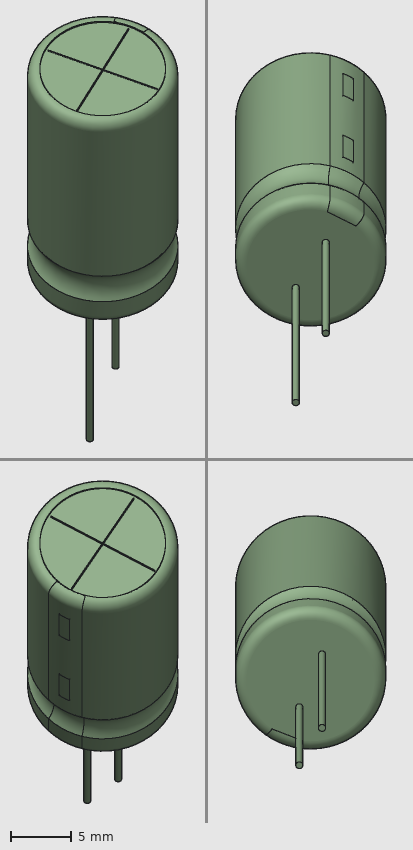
import cadquery as cq
import math


body_diameter = 12.5
body_height = 25.0
body_radius = body_diameter / 2
edge_radius = 0.93
sleeve_thickness = 0.15
lip_width = 0.1
opening_radius = body_radius - edge_radius - lip_width

belt_bottom = 2.8
belt_height = 3.2
belt_depth = 0.6
belt_middle = belt_bottom + belt_height / 2
belt_top = belt_bottom + belt_height

score_width = 0.08
score_depth = 0.1
score_end_gap = 0.2
score_length = 2 * (opening_radius - score_end_gap)

stripe_angle = 30.0
mark_count = 2
mark_length = 3.6
mark_width = 1.0
mark_pitch = 10.2
mark_center = (belt_top + body_height - edge_radius) / 2

lead_diameter = 0.6
lead_pitch = 5.0
cathode_length = 15.0
anode_length = 18.99


def turned_body(inset):
    """Solid of revolution whose surface lies `inset` inside the outer surface of the sleeve."""
    radius = body_radius - inset
    bottom = inset
    top = body_height - inset
    corner = edge_radius - inset
    arc_drop = corner * (1 - math.sqrt(0.5))
    return (
        cq.Workplane("XZ")
        .moveTo(0, bottom)
        .lineTo(radius - corner, bottom)
        .threePointArc((radius - arc_drop, bottom + arc_drop), (radius, bottom + corner))
        .lineTo(radius, belt_bottom)
        .threePointArc((radius - belt_depth, belt_middle), (radius, belt_top))
        .lineTo(radius, top - corner)
        .threePointArc((radius - arc_drop, top - arc_drop), (radius - corner, top))
        .lineTo(0, top)
        .close()
        .revolve(360, (0, 0, 0), (0, 1, 0))
    )


def make_can():
    """Inner can with a cross scored into its top."""
    can = turned_body(sleeve_thickness)
    can_top = body_height - sleeve_thickness
    for length_x, length_y in ((score_length, score_width), (score_width, score_length)):
        score = cq.Workplane("XY", origin=(0, 0, can_top)).rect(length_x, length_y).extrude(-score_depth)
        can = can.cut(score)
    return can


def make_shell():
    """Thin wrap around the can, open at the top and pierced by the leads at the bottom."""
    opening = (
        cq.Workplane("XY", origin=(0, 0, body_height)).circle(opening_radius).extrude(-sleeve_thickness)
    )
    lead_holes = (
        cq.Workplane("XY")
        .pushPoints([(0, lead_pitch / 2), (0, -lead_pitch / 2)])
        .circle(lead_diameter / 2)
        .extrude(sleeve_thickness)
    )
    return turned_body(0).cut(turned_body(sleeve_thickness)).cut(opening).cut(lead_holes)


def make_stripe_sector():
    """Wedge on the +Y side, tall and deep enough to take in the whole stripe outside the leads."""
    far_y = 2 * body_radius
    half_width = far_y * math.tan(math.radians(stripe_angle / 2))
    near_y = opening_radius - lip_width
    near_half_width = half_width * near_y / far_y
    return (
        cq.Workplane("XY")
        .polyline(
            [
                (-near_half_width, near_y),
                (near_half_width, near_y),
                (half_width, far_y),
                (-half_width, far_y),
            ]
        )
        .close()
        .extrude(body_height)
    )


def make_mark_block(center_z):
    """Block that cuts one minus mark out of the stripe."""
    return cq.Workplane("XY", origin=(0, body_radius, center_z)).box(mark_width, body_radius, mark_length)


def make_lead(y, length):
    """Wire that starts on the underside of the can and hangs `length` below the sleeve."""
    return (
        cq.Workplane("XY", origin=(0, y, -length))
        .circle(lead_diameter / 2)
        .extrude(length + sleeve_thickness)
    )


can = make_can()
shell = make_shell()
stripe_sector = make_stripe_sector()
sleeve = shell.cut(stripe_sector)
stripe = shell.intersect(stripe_sector)

marks = []
for index in range(mark_count):
    center_z = mark_center + (index - (mark_count - 1) / 2) * mark_pitch
    block = make_mark_block(center_z)
    marks.append(stripe.intersect(block))
    stripe = stripe.cut(block)

cathode_lead = make_lead(lead_pitch / 2, cathode_length)
anode_lead = make_lead(-lead_pitch / 2, anode_length)

result = cq.Compound.makeCompound(
    [
        can.val(),
        sleeve.val(),
        stripe.val(),
        *[mark.val() for mark in marks],
        cathode_lead.val(),
        anode_lead.val(),
    ]
)